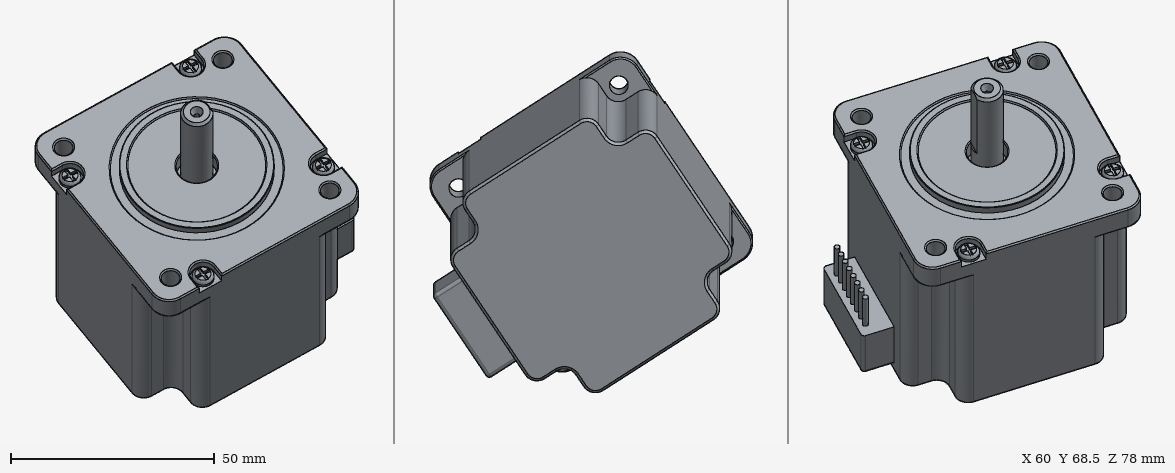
import cadquery as cq
import math

TOTAL_HEIGHT = 78.0
PILOT_TOP = 55.4
FLANGE_TOP = 53.75
FLANGE_UNDERSIDE = 46.8

SIDE = 60.0
HALF_SIDE = SIDE / 2
FLANGE_CORNER_RADIUS = 5.0
FLANGE_EDGE_CHAMFER = 0.4
COLUMN_TOP = FLANGE_UNDERSIDE + FLANGE_EDGE_CHAMFER
BASE_CHAMFER = 0.7

NOTCH_DEPTH = 10.4
NOTCH_ROUND = 3.4
NOTCH_REACH = NOTCH_DEPTH + NOTCH_ROUND
NOTCH_OVERRUN = 1.55

HOLE_OFFSET = 23.55
HOLE_DIAMETER = 4.6

PILOT_RADIUS = 19.0
PILOT_CHAMFER = 0.15
WALL_SLOPE = 0.3
RING_RADIUS = 21.5
RING_DEPTH = 0.4
DISH_RADIUS = 17.2
DISH_DEPTH = 0.4
WELL_RADIUS = 5.1
WELL_DEPTH = 4.7
WELL_CHAMFER = 0.3

SHAFT_RADIUS = 4.0
SHAFT_CHAMFER = 0.7
FLAT_DISTANCE = 3.5
FLAT_START = 57.6
CENTRE_RIM_RADIUS = 1.55
CENTRE_PILOT_RADIUS = 0.7
CENTRE_CONE_DEPTH = 1.9
CENTRE_PILOT_DEPTH = 1.55

SCREW_ALONG_SIDE = 16.1
SCREW_OUT = 26.7
POCKET_RADIUS = 3.3
POCKET_DEPTH = 2.35
HEAD_RADIUS = 2.7
HEAD_RIM_HEIGHT = 0.8
HEAD_HEIGHT = 1.7
HEAD_CROWN_RADIUS = 1.95
HEAD_DOME_BULGE = 0.1
CROSS_WIDTH = 0.8
CROSS_DEPTH = 0.8

CONNECTOR_REACH = 8.5
CONNECTOR_END = HALF_SIDE + CONNECTOR_REACH
CONNECTOR_WIDTH = 25.1
CONNECTOR_BOTTOM = 2.65
CONNECTOR_TOP = 16.3
CONNECTOR_ROUND = 0.9
PIN_COUNT = 8
PIN_PITCH = 2.6
PIN_RADIUS = 0.7
PIN_SETBACK = 2.35
PIN_ROOT = 0.8
PIN_TOP = 26.2


def upright_cylinder(radius, bottom, top):
    return cq.Workplane("XY").workplane(offset=bottom).circle(radius).extrude(top - bottom)


def about_axis(solid, quarter_turns):
    return solid.rotate((0, 0, 0), (0, 0, 1), 90 * quarter_turns)


def corner_notch():
    """Cutter for the (-X, -Y) corner, drawn from the corner point and then moved there."""
    bulge = NOTCH_ROUND * math.sqrt(0.5)
    near = NOTCH_ROUND
    inner = NOTCH_DEPTH - NOTCH_ROUND
    far = NOTCH_REACH
    outline = (
        cq.Workplane("XY")
        .moveTo(far, -NOTCH_OVERRUN)
        .lineTo(far, 0)
        .threePointArc((far - bulge, near - bulge), (NOTCH_DEPTH, near))
        .lineTo(NOTCH_DEPTH, inner)
        .threePointArc((inner + bulge, inner + bulge), (inner, NOTCH_DEPTH))
        .lineTo(near, NOTCH_DEPTH)
        .threePointArc((near - bulge, far - bulge), (0, far))
        .lineTo(-NOTCH_OVERRUN, far)
        .lineTo(-NOTCH_OVERRUN, -NOTCH_OVERRUN)
        .close()
    )
    cutter = outline.extrude(COLUMN_TOP)
    return cutter.translate((-HALF_SIDE, -HALF_SIDE, 0))


def screw_pocket():
    """U-shaped pocket cutter, open at the -Y side."""
    floor = FLANGE_TOP - POCKET_DEPTH
    open_end = SIDE - SCREW_OUT
    slot = (
        cq.Workplane("XY")
        .workplane(offset=floor)
        .center(-SCREW_ALONG_SIDE, -SCREW_OUT - open_end / 2)
        .rect(2 * POCKET_RADIUS, open_end)
        .extrude(POCKET_DEPTH)
    )
    round_end = upright_cylinder(POCKET_RADIUS, floor, FLANGE_TOP)
    return slot.union(round_end.translate((-SCREW_ALONG_SIDE, -SCREW_OUT, 0)))


def screw_head():
    """Domed screw head with a cross recess, standing on the -Y pocket floor."""
    shoulder = (HEAD_RADIUS + HEAD_CROWN_RADIUS) / 2 + HEAD_DOME_BULGE
    shoulder_height = (HEAD_RIM_HEIGHT + HEAD_HEIGHT) / 2 + HEAD_DOME_BULGE
    head = (
        cq.Workplane("XZ")
        .lineTo(HEAD_RADIUS, 0)
        .lineTo(HEAD_RADIUS, HEAD_RIM_HEIGHT)
        .threePointArc((shoulder, shoulder_height), (HEAD_CROWN_RADIUS, HEAD_HEIGHT))
        .lineTo(0, HEAD_HEIGHT)
        .close()
        .revolve(360, (0, 0), (0, 1))
    )
    arm = 2 * HEAD_CROWN_RADIUS
    recess_top = cq.Workplane("XY").workplane(offset=HEAD_HEIGHT)
    cross = recess_top.rect(arm, CROSS_WIDTH).extrude(-CROSS_DEPTH)
    cross = cross.union(recess_top.rect(CROSS_WIDTH, arm).extrude(-CROSS_DEPTH))
    floor = FLANGE_TOP - POCKET_DEPTH
    return head.cut(cross).translate((-SCREW_ALONG_SIDE, -SCREW_OUT, floor))


def column():
    """Square column below the flange, notched at its four corners."""
    body = cq.Workplane("XY").rect(SIDE, SIDE).extrude(COLUMN_TOP)
    for turn in range(4):
        body = body.cut(about_axis(corner_notch(), turn))
    return body.faces("<Z").edges().chamfer(BASE_CHAMFER)


def flange():
    """Square flange with mounting holes and screw pockets, bevelled above and below."""
    plate = (
        cq.Workplane("XY")
        .workplane(offset=FLANGE_UNDERSIDE)
        .rect(SIDE, SIDE)
        .extrude(FLANGE_TOP - FLANGE_UNDERSIDE)
        .edges("|Z")
        .fillet(FLANGE_CORNER_RADIUS)
        .faces("<Z")
        .edges()
        .chamfer(FLANGE_EDGE_CHAMFER)
    )
    holes = (
        cq.Workplane("XY")
        .rect(2 * HOLE_OFFSET, 2 * HOLE_OFFSET, forConstruction=True)
        .vertices()
        .circle(HOLE_DIAMETER / 2)
        .extrude(FLANGE_TOP)
    )
    plate = plate.cut(holes)
    for turn in range(4):
        plate = plate.cut(about_axis(screw_pocket(), turn))
    return plate.faces(">Z").edges().chamfer(FLANGE_EDGE_CHAMFER)


def tapered_recess(rim_radius, slope, depth, rim_height):
    """Round cutter whose wall slopes inward towards its floor."""
    return (
        cq.Workplane("XY")
        .workplane(offset=rim_height - depth)
        .circle(rim_radius - slope)
        .workplane(offset=depth)
        .circle(rim_radius)
        .loft()
    )


def pilot():
    """Pilot boss rising from the floor of the ring, its top face dished."""
    boss = upright_cylinder(PILOT_RADIUS, FLANGE_TOP - RING_DEPTH, PILOT_TOP)
    boss = boss.faces(">Z").edges().chamfer(PILOT_CHAMFER)
    return boss.cut(tapered_recess(DISH_RADIUS, WALL_SLOPE, DISH_DEPTH, PILOT_TOP))


def shaft_well():
    """Clearance cutter around the shaft, flared where it meets the dished face."""
    mouth = PILOT_TOP - DISH_DEPTH
    flare = tapered_recess(WELL_RADIUS + WELL_CHAMFER, WELL_CHAMFER, WELL_CHAMFER, mouth)
    return upright_cylinder(WELL_RADIUS, mouth - WELL_DEPTH, mouth).union(flare)


def shaft():
    rod = upright_cylinder(SHAFT_RADIUS, FLANGE_UNDERSIDE, TOTAL_HEIGHT)
    rod = rod.faces(">Z").edges().chamfer(SHAFT_CHAMFER)
    flat = (
        cq.Workplane("XY")
        .workplane(offset=FLAT_START)
        .center(0, FLAT_DISTANCE + SHAFT_RADIUS / 2)
        .rect(2 * SHAFT_RADIUS, SHAFT_RADIUS)
        .extrude(TOTAL_HEIGHT - FLAT_START)
    )
    cone_bottom = TOTAL_HEIGHT - CENTRE_CONE_DEPTH
    centre_drill = (
        cq.Workplane("XZ")
        .moveTo(0, TOTAL_HEIGHT)
        .lineTo(CENTRE_RIM_RADIUS, TOTAL_HEIGHT)
        .lineTo(CENTRE_PILOT_RADIUS, cone_bottom)
        .lineTo(CENTRE_PILOT_RADIUS, cone_bottom - CENTRE_PILOT_DEPTH)
        .lineTo(0, cone_bottom - CENTRE_PILOT_DEPTH)
        .close()
        .revolve(360, (0, 0), (0, 1))
    )
    return rod.cut(flat).cut(centre_drill)


def connector():
    block = (
        cq.Workplane("XY")
        .workplane(offset=CONNECTOR_BOTTOM)
        .center(0, CONNECTOR_END / 2)
        .rect(CONNECTOR_WIDTH, CONNECTOR_END)
        .extrude(CONNECTOR_TOP - CONNECTOR_BOTTOM)
        .edges("(|Z and >Y) or <Z")
        .edges("not <Y")
        .fillet(CONNECTOR_ROUND)
    )
    first_pin = -PIN_PITCH * (PIN_COUNT - 1) / 2
    for index in range(PIN_COUNT):
        pin = upright_cylinder(PIN_RADIUS, CONNECTOR_TOP - PIN_ROOT, PIN_TOP)
        pin_x = first_pin + index * PIN_PITCH
        block = block.union(pin.translate((pin_x, CONNECTOR_END - PIN_SETBACK, 0)))
    return block


motor = column().union(flange())
motor = motor.cut(tapered_recess(RING_RADIUS, WALL_SLOPE, RING_DEPTH, FLANGE_TOP))
motor = motor.union(pilot())
motor = motor.cut(shaft_well())
motor = motor.union(shaft())
for turn in range(4):
    motor = motor.union(about_axis(screw_head(), turn))
motor = motor.union(connector())

result = motor